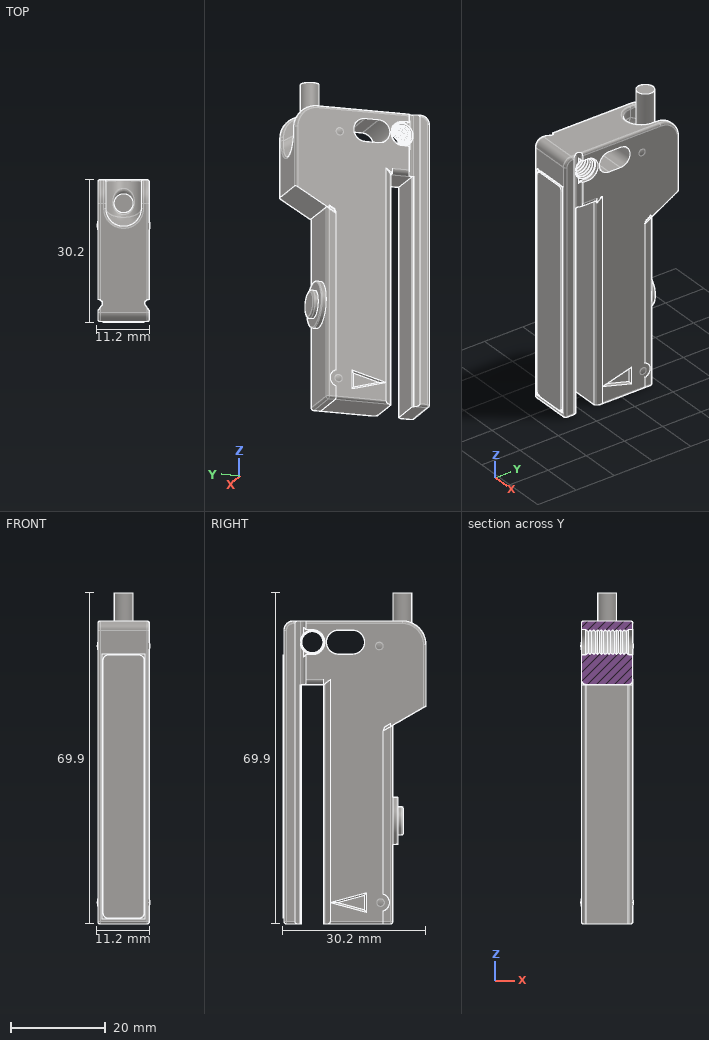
import cadquery as cq
import math

WIDTH_OVER_DOMES = 11.15
WIDTH = 10.9
HALF = WIDTH / 2
HEIGHT = 64.0
DEPTH = 30.0
EDGE_FILLET = 0.55

REACH = 1.0
TOLERANCE = 0.05

GRIP_BACK_Y = 23.0
HEAD_BOTTOM_Z = 46.0
HEAD_SLOPE = math.tan(math.radians(30))
HEAD_REAR_RADIUS = 5.0
HEAD_FRONT_RADIUS = 2.0
GAP_FRONT_Y = 3.7
GAP_BACK_Y = 8.4
GAP_TOP_Z = 50.5
GAP_TOP_FILLET = 1.1
GRIP_BEVEL_BACK_Y = 9.8
GRIP_BEVEL_X = 0.75
GRIP_EASE = 0.28
ARM_EASE = 0.3

GROOVE_Y = 3.9
GROOVE_RADIUS = 0.75
GROOVE_DEPTH = 0.95
GROOVE_EDGE_Y = 2.3

HOLE_Z = 59.5
OBLONG_Y = 13.0
OBLONG_LENGTH = 8.0
OBLONG_HEIGHT = 5.0
SCREW_Y = 6.0
SCREW_MINOR = 4.45
SCREW_MAJOR = 5.1
THREAD_PITCH = 0.8
THREAD_CREST = 0.1
SCREW_RELIEF_DIAMETER = 5.3
SCREW_RELIEF_DEPTH = 0.9
SCREW_RELIEF_FLARE = 0.5

CABLE_Y = 25.0
CABLE_DIAMETER = 4.0
CABLE_TOP_Z = 69.9
CABLE_BOTTOM_Z = 49.0
CABLE_RIM_FILLET = 0.75
POCKET_Y = 23.9
POCKET_Z = 61.5
POCKET_SLOPE = math.radians(30)
POCKET_RADIUS = 3.75
POCKET_RIM_FILLET = 0.45

LABEL_PROUD = 0.15
LABEL_SINK = 0.35
LABEL_RECESS_WIDTH = 9.1
LABEL_RECESS_BOTTOM_Z = 1.05
LABEL_RECESS_TOP_Z = 57.0
LABEL_CLEARANCE = 0.25
LABEL_CORNER = 0.9

LID_FRONT_Y = 20.95
LID_NOTCH_HEIGHT = 0.65
LID_NOTCH_DEPTH = 0.4
LID_NOTCH_LEAN = 0.3
BUTTON_Z = 21.8
FLANGE_DIAMETER = 10.0
FLANGE_HEIGHT = 1.1
FLANGE_FILLET = 0.2
BUTTON_DIAMETER = 6.0
BUTTON_HEIGHT = 1.1
BUTTON_FILLET = 0.4

DOME_SPOTS = [(20.15, 58.7), (20.42, 4.55)]
DOME_DIAMETER = 1.6
DOME_HEIGHT = (WIDTH_OVER_DOMES - WIDTH) / 2
DOME_ROOT = 0.5
DOME_BOSS_RADIUS = 1.85

ARROW_BACK_Y = 17.4
ARROW_TIP_Y = 9.8
ARROW_Z = 4.54
ARROW_WIDTH = 4.1
ARROW_DEPTH = 0.4
ARROW_TAPER = 45

LID_TOP_BACK_Z = HEAD_BOTTOM_Z - (DEPTH - GRIP_BACK_Y) * HEAD_SLOPE
LID_TOP_FRONT_Z = HEAD_BOTTOM_Z - (DEPTH - LID_FRONT_Y) * HEAD_SLOPE


def across(x=-HALF):
    """Sketch plane facing +X at the given X: local x is Y, local y is Z."""
    return cq.Workplane("YZ", origin=(x, 0, 0))


def both_sides(shape):
    """The shape together with its mirror image in the X = 0 plane."""
    return shape.add(shape.mirror("YZ")).combine()


def edges_within(body, low, high):
    """Edges of the body that lie wholly inside the box between two corners."""
    picked = []
    for edge in body.edges().vals():
        box = edge.BoundingBox()
        starts_inside = box.xmin > low[0] and box.ymin > low[1] and box.zmin > low[2]
        ends_inside = box.xmax < high[0] and box.ymax < high[1] and box.zmax < high[2]
        if starts_inside and ends_inside:
            picked.append(edge)
    return picked


def envelope():
    """Housing and lid together: side outline with rounded edges, before the fork gap."""
    outline = (
        across()
        .moveTo(0, 0)
        .lineTo(GRIP_BACK_Y, 0)
        .lineTo(GRIP_BACK_Y, LID_TOP_BACK_Z)
        .lineTo(DEPTH, HEAD_BOTTOM_Z)
        .lineTo(DEPTH, HEIGHT)
        .lineTo(0, HEIGHT)
        .close()
        .extrude(WIDTH)
    )
    outline = outline.edges("|X and >Z and >Y").fillet(HEAD_REAR_RADIUS)
    outline = outline.edges("|X and >Z and <Y").fillet(HEAD_FRONT_RADIUS)
    outline = outline.edges("|X and <Z").fillet(EDGE_FILLET)
    return outline


def dome_boss():
    """Round bosses of the housing that reach into the lid around the lower domes."""
    y, z = DOME_SPOTS[1]
    return across().center(y, z).circle(DOME_BOSS_RADIUS).extrude(WIDTH)


def lid_space():
    """Room taken by the lid, up to the sloping underside of the head."""
    return (
        across()
        .moveTo(LID_FRONT_Y, -REACH)
        .lineTo(GRIP_BACK_Y + REACH, -REACH)
        .lineTo(GRIP_BACK_Y + REACH, LID_TOP_BACK_Z + REACH * HEAD_SLOPE)
        .lineTo(LID_FRONT_Y, LID_TOP_FRONT_Z)
        .close()
        .extrude(WIDTH)
        .cut(dome_boss())
    )


def is_sloping(edge):
    """True for a straight edge that runs along neither Y nor Z."""
    along = edge.tangentAt(0.5)
    return edge.geomType() == "LINE" and min(abs(along.y), abs(along.z)) > TOLERANCE


def round_side_edges(body):
    """Round the outer edges of both sides, leaving the sloping underside of the head sharp."""
    picked = [edge for edge in body.edges("<X or >X").vals() if not is_sloping(edge)]
    return body.newObject(picked).fillet(EDGE_FILLET)


def fork_gap():
    """Open gap between grip and front arm."""
    return (
        cq.Workplane("XZ", origin=(0, GAP_FRONT_Y, 0))
        .rect(WIDTH, 2 * GAP_TOP_Z)
        .extrude(GAP_FRONT_Y - GAP_BACK_Y)
    )


def grip_bevel():
    """Flat bevel with an eased end down both inner edges of the grip, mitred into the gap's top."""
    profile = (
        cq.Workplane("XY")
        .moveTo(-HALF - REACH, GAP_BACK_Y)
        .lineTo(-HALF - REACH, GRIP_BEVEL_BACK_Y)
        .lineTo(-HALF, GRIP_BEVEL_BACK_Y)
        .lineTo(-HALF + GRIP_BEVEL_X, GAP_BACK_Y + GRIP_EASE)
        .lineTo(-HALF + GRIP_BEVEL_X + GRIP_EASE, GAP_BACK_Y)
        .close()
        .extrude(HEIGHT)
    )
    below_mitre = (
        across(-WIDTH)
        .moveTo(GAP_BACK_Y, 0)
        .lineTo(GRIP_BEVEL_BACK_Y, 0)
        .lineTo(GRIP_BEVEL_BACK_Y, GAP_TOP_Z + GAP_TOP_FILLET)
        .lineTo(GAP_BACK_Y, GAP_TOP_Z)
        .close()
        .extrude(2 * WIDTH)
    )
    return both_sides(profile.intersect(below_mitre))


def side_groove():
    """Full height groove: round bottom, running out along a tangent bevel to the arm."""
    x_center = -HALF + GROOVE_DEPTH - GROOVE_RADIUS
    rise = GROOVE_Y - GROOVE_EDGE_Y
    run = GROOVE_DEPTH - GROOVE_RADIUS
    bevel_angle = math.atan2(run, rise) + math.asin(GROOVE_RADIUS / math.hypot(run, rise))
    tangent = (
        x_center + GROOVE_RADIUS * math.cos(bevel_angle),
        GROOVE_Y - GROOVE_RADIUS * math.sin(bevel_angle),
    )
    profile = (
        cq.Workplane("XY")
        .moveTo(-HALF, GROOVE_EDGE_Y)
        .lineTo(*tangent)
        .threePointArc((x_center + GROOVE_RADIUS, GROOVE_Y), (x_center, GROOVE_Y + GROOVE_RADIUS))
        .lineTo(-HALF - REACH, GROOVE_Y + GROOVE_RADIUS)
        .lineTo(-HALF - REACH, GROOVE_EDGE_Y)
        .close()
        .extrude(HEIGHT)
    )
    return both_sides(profile)


def arm_ease():
    """Small bevel easing both inner edges of the front arm along the gap."""
    profile = (
        cq.Workplane("XY")
        .moveTo(-HALF, GAP_FRONT_Y)
        .lineTo(-HALF, GAP_FRONT_Y - ARM_EASE)
        .lineTo(-HALF + GROOVE_DEPTH - ARM_EASE / 2, GAP_FRONT_Y - ARM_EASE)
        .lineTo(-HALF + GROOVE_DEPTH + ARM_EASE / 2, GAP_FRONT_Y)
        .close()
        .extrude(GAP_TOP_Z)
    )
    return both_sides(profile)


def oblong_hole():
    """Round-ended hole right through the head."""
    return across().center(OBLONG_Y, HOLE_Z).slot2D(OBLONG_LENGTH, OBLONG_HEIGHT).extrude(WIDTH)


def screw_hole():
    """Screw hole with thread rings spread evenly over its length."""
    hole = across().center(SCREW_Y, HOLE_Z).circle(SCREW_MINOR / 2).extrude(WIDTH)
    half_ring = (THREAD_PITCH - THREAD_CREST) / 2
    pitches = int(WIDTH / THREAD_PITCH)
    for i in range(pitches + 1):
        x = (i - pitches / 2) * THREAD_PITCH
        ring = (
            cq.Workplane("XY", origin=(x, SCREW_Y, HOLE_Z))
            .moveTo(-half_ring, 0)
            .lineTo(-half_ring, SCREW_MINOR / 2)
            .lineTo(0, SCREW_MAJOR / 2)
            .lineTo(half_ring, SCREW_MINOR / 2)
            .lineTo(half_ring, 0)
            .close()
            .revolve(360, (0, 0, 0), (1, 0, 0))
        )
        hole = hole.union(ring)
    return hole


def cable_pocket():
    """Round-ended channel sloping down through the back face, open above."""
    end = (0, POCKET_Y, POCKET_Z)
    slope_direction = (0, math.cos(POCKET_SLOPE), -math.sin(POCKET_SLOPE))
    run = 2 * (DEPTH - POCKET_Y)
    drop = run * math.tan(POCKET_SLOPE)
    ball = cq.Workplane("XY").sphere(POCKET_RADIUS).translate(end)
    trough_plane = cq.Plane(end, xDir=(1, 0, 0), normal=slope_direction)
    trough = cq.Workplane(trough_plane).circle(POCKET_RADIUS).extrude(math.hypot(run, drop))
    shaft = cq.Workplane("XY", origin=end).circle(POCKET_RADIUS).extrude(HEIGHT)
    opening = (
        across(-POCKET_RADIUS)
        .moveTo(POCKET_Y, POCKET_Z)
        .lineTo(POCKET_Y + run, POCKET_Z - drop)
        .lineTo(POCKET_Y + run, POCKET_Z + HEIGHT)
        .lineTo(POCKET_Y, POCKET_Z + HEIGHT)
        .close()
        .extrude(2 * POCKET_RADIUS)
    )
    return ball.union(trough).union(shaft).union(opening)


def make_cable():
    """Straight cable end, seated in its hole below the pocket."""
    return (
        cq.Workplane("XY", origin=(0, CABLE_Y, CABLE_BOTTOM_Z))
        .circle(CABLE_DIAMETER / 2)
        .extrude(CABLE_TOP_Z - CABLE_BOTTOM_Z)
    )


def is_pocket_rim(edge):
    """True on the top face, the back face and the rounded corner between them."""
    box = edge.BoundingBox()
    on_top = box.zmin > HEIGHT - TOLERANCE
    on_back = box.ymin > DEPTH - TOLERANCE
    on_corner = edge.geomType() == "CIRCLE" and abs(edge.radius() - HEAD_REAR_RADIUS) < TOLERANCE
    return on_top or on_back or on_corner


def round_cable_exit(body):
    """Round the outer rim of the pocket, then the rim of the cable hole in its floor."""
    half_span = POCKET_RADIUS + TOLERANCE
    pocket_edges = edges_within(
        body,
        (-half_span, POCKET_Y - half_span, HEAD_BOTTOM_Z + TOLERANCE),
        (half_span, DEPTH + TOLERANCE, HEIGHT + TOLERANCE),
    )
    body = body.newObject([e for e in pocket_edges if is_pocket_rim(e)]).fillet(POCKET_RIM_FILLET)
    half_span = CABLE_DIAMETER / 2 + TOLERANCE
    hole_edges = edges_within(
        body,
        (-half_span, CABLE_Y - half_span, CABLE_BOTTOM_Z + TOLERANCE),
        (half_span, CABLE_Y + half_span, HEIGHT - POCKET_RADIUS),
    )
    return body.newObject([e for e in hole_edges if e.geomType() != "LINE"]).fillet(CABLE_RIM_FILLET)


def screw_relief():
    """Round pocket around the screw hole, flaring out into the side groove."""
    radius = SCREW_RELIEF_DIAMETER / 2
    mouth = radius + SCREW_RELIEF_FLARE
    flare_y = GROOVE_Y + GROOVE_RADIUS
    relief = (
        across()
        .moveTo(GAP_FRONT_Y, HOLE_Z - mouth)
        .lineTo(flare_y - SCREW_RELIEF_FLARE, HOLE_Z - mouth)
        .lineTo(flare_y, HOLE_Z - radius)
        .lineTo(SCREW_Y, HOLE_Z - radius)
        .threePointArc((SCREW_Y + radius, HOLE_Z), (SCREW_Y, HOLE_Z + radius))
        .lineTo(flare_y, HOLE_Z + radius)
        .lineTo(flare_y - SCREW_RELIEF_FLARE, HOLE_Z + mouth)
        .lineTo(GAP_FRONT_Y, HOLE_Z + mouth)
        .close()
        .extrude(SCREW_RELIEF_DEPTH)
    )
    return both_sides(relief)


def label_blank(clearance, front_y):
    """Label plate, or with no clearance the recess for it, from front_y back to the recess floor."""
    width = LABEL_RECESS_WIDTH - 2 * clearance
    height = LABEL_RECESS_TOP_Z - LABEL_RECESS_BOTTOM_Z - 2 * clearance
    middle_z = (LABEL_RECESS_TOP_Z + LABEL_RECESS_BOTTOM_Z) / 2
    return (
        cq.Workplane("XZ", origin=(0, LABEL_SINK, middle_z))
        .rect(width, height)
        .extrude(LABEL_SINK - front_y)
    )


def arrow_marks():
    """Arrows sunk into both sides with sloping walls, pointing to the gap."""
    arrow = (
        across()
        .moveTo(ARROW_TIP_Y, ARROW_Z)
        .lineTo(ARROW_BACK_Y, ARROW_Z + ARROW_WIDTH / 2)
        .lineTo(ARROW_BACK_Y, ARROW_Z - ARROW_WIDTH / 2)
        .close()
        .extrude(ARROW_DEPTH, taper=ARROW_TAPER)
    )
    return both_sides(arrow)


def lid_notches():
    """Shallow notches in the housing sides just above the lid."""
    back = GRIP_BACK_Y - EDGE_FILLET
    lean = LID_NOTCH_LEAN
    back_z = HEAD_BOTTOM_Z - (DEPTH - back) * HEAD_SLOPE
    notch = (
        across()
        .moveTo(LID_FRONT_Y, LID_TOP_FRONT_Z)
        .lineTo(back, back_z)
        .lineTo(back, back_z + LID_NOTCH_HEIGHT)
        .lineTo(LID_FRONT_Y + lean, LID_TOP_FRONT_Z + lean * HEAD_SLOPE + LID_NOTCH_HEIGHT)
        .close()
        .extrude(LID_NOTCH_DEPTH)
    )
    return both_sides(notch)


def domes():
    """Low spherical caps on both sides, carried on short roots inside the wall."""
    ball_radius = ((DOME_DIAMETER / 2) ** 2 + DOME_HEIGHT**2) / (2 * DOME_HEIGHT)
    caps = cq.Workplane("XY")
    for y, z in DOME_SPOTS:
        ball = cq.Workplane("XY").sphere(ball_radius).translate((-HALF - DOME_HEIGHT + ball_radius, y, z))
        core = across(-HALF - REACH).center(y, z).circle(DOME_DIAMETER / 2).extrude(REACH + DOME_ROOT)
        caps = caps.add(ball.intersect(core))
    return both_sides(caps.combine())


def make_housing(shell):
    """Forked housing: head, grip and front arm, with every opening for the other bodies."""
    body = shell.cut(lid_space()).cut(fork_gap())
    gap_top = edges_within(
        body,
        (-WIDTH, GAP_FRONT_Y - TOLERANCE, GAP_TOP_Z - TOLERANCE),
        (WIDTH, GAP_BACK_Y + TOLERANCE, GAP_TOP_Z + TOLERANCE),
    )
    body = body.newObject(gap_top).edges("|Y").fillet(GAP_TOP_FILLET)
    body = body.cut(grip_bevel()).cut(side_groove()).cut(arm_ease())
    body = round_cable_exit(body.cut(cable_pocket()).cut(make_cable()))
    body = body.cut(label_blank(0, 0)).cut(arrow_marks()).cut(lid_notches())
    body = body.cut(oblong_hole()).cut(screw_hole()).cut(screw_relief())
    return body.union(domes())


def make_lid(shell):
    """Lid closing the back of the grip, with its stepped round button."""
    plate = shell.intersect(lid_space())
    back = cq.Workplane("XZ", origin=(0, GRIP_BACK_Y, BUTTON_Z))
    flange = back.circle(FLANGE_DIAMETER / 2).extrude(-FLANGE_HEIGHT)
    flange = flange.faces(">Y").edges().fillet(FLANGE_FILLET)
    button = back.circle(BUTTON_DIAMETER / 2).extrude(-FLANGE_HEIGHT - BUTTON_HEIGHT)
    button = button.faces(">Y").edges().fillet(BUTTON_FILLET)
    return plate.union(flange).union(button)


def make_label():
    """Label plate with rounded corners, standing slightly proud of the front face."""
    return label_blank(LABEL_CLEARANCE, -LABEL_PROUD).edges("|Y").fillet(LABEL_CORNER)


shell = round_side_edges(envelope())
housing = make_housing(shell)
lid = make_lid(shell)
label = make_label()
cable = make_cable()

bodies = [body.solids().val() for body in (housing, lid, label, cable)]
result = cq.Compound.makeCompound(bodies)